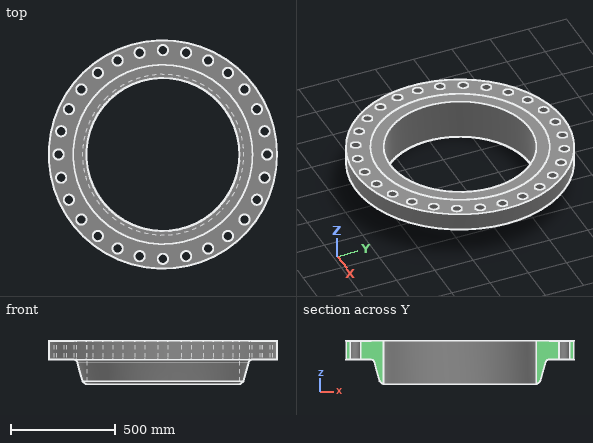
import cadquery as cq

flange_diameter = 1092.0
flange_thickness = 92.0
total_height = 210.0
bore_diameter = 730.0

raised_face_diameter = 857.0
raised_face_height = 1.0

hub_top_diameter = 828.0
hub_bottom_diameter = 770.0
hub_fillet_radius = 16.0
weld_end_diameter = 736.0
weld_bevel_height = 14.0

bolt_count = 28
bolt_circle_diameter = 997.0
bolt_hole_diameter = 48.0

selection_margin = 1.0

plate_top = total_height - raised_face_height
plate_bottom = total_height - flange_thickness


def make_body():
    """Revolve the flange and hub section about Z."""
    section = (
        cq.Workplane("XZ")
        .moveTo(bore_diameter / 2, 0)
        .lineTo(weld_end_diameter / 2, 0)
        .lineTo(hub_bottom_diameter / 2, weld_bevel_height)
        .lineTo(hub_top_diameter / 2, plate_bottom)
        .lineTo(flange_diameter / 2, plate_bottom)
        .lineTo(flange_diameter / 2, plate_top)
        .lineTo(raised_face_diameter / 2, plate_top)
        .lineTo(raised_face_diameter / 2, total_height)
        .lineTo(bore_diameter / 2, total_height)
        .close()
    )
    body = section.revolve(360, (0, 0, 0), (0, 1, 0))
    reach = hub_top_diameter / 2 + selection_margin
    hub_corner = cq.selectors.BoxSelector(
        (-reach, -reach, plate_bottom - selection_margin),
        (reach, reach, plate_bottom + selection_margin),
        boundingbox=True,
    )
    return body.edges(hub_corner).fillet(hub_fillet_radius)


def make_bolt_holes():
    """Cylinders evenly spaced on the bolt circle, one of them on the X axis."""
    return (
        cq.Workplane("XY")
        .workplane(offset=plate_bottom)
        .polarArray(bolt_circle_diameter / 2, 0, 360, bolt_count)
        .circle(bolt_hole_diameter / 2)
        .extrude(flange_thickness)
    )


result = make_body().cut(make_bolt_holes())